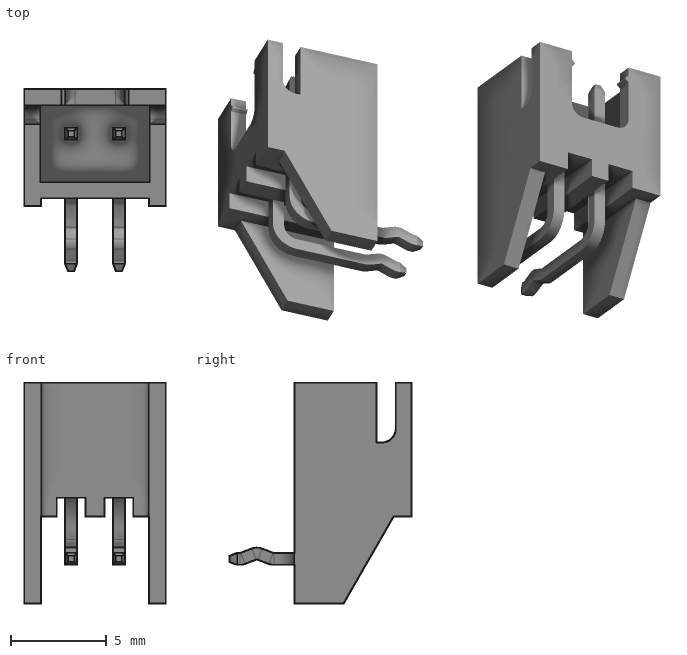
import cadquery as cq
import math

width = 7.4
height = 11.5
depth = 6.11
overall_depth = 9.5

plate_thickness = 0.9
side_wall = 0.85
back_wall = 0.84
front_wall = 0.84
front_recess = 0.4
body_bottom = 4.52
floor_top = 6.32

foot_depth = 2.56
back_ledge = 0.94

slot_radius = 0.7
side_slot_width = 0.99
side_slot_depth = 3.1
back_slot_width = 3.5
back_slot_depth = 3.7

ridge_z = 10.82
ridge_reach = 0.25
ridge_height = 0.39
ridge_nose_radius = 0.1
ridge_root_radius = 0.1
ridge_backing = 0.12

notch_width = 1.48
notch_top = 5.5

pitch = 2.5
pin_size = 0.63
pin_y = 3.77
pin_tip_length = 0.4
pin_tip_size = 0.31
pin_top = 11.29
leg_z = 2.32
elbow_inner_radius = 0.7
kink_start_y = -1.08
kink_inner_radius = 0.1
kink_angle = math.radians(21)
ramp_length = 0.62
pin_end_y = depth - overall_depth

pin_positions = [-pitch / 2, pitch / 2]


def box(x_min, x_max, y_min, y_max, z_min, z_max):
    """Axis-aligned block between the given limits."""
    block = cq.Workplane("XY").box(x_max - x_min, y_max - y_min, z_max - z_min, centered=False)
    return block.translate((x_min, y_min, z_min))


def make_side_plates():
    """Two full-height plates whose legs slope towards the front."""
    profile = [
        (0, 0),
        (foot_depth, 0),
        (depth - back_ledge, body_bottom),
        (depth, body_bottom),
        (depth, height),
        (0, height),
    ]
    plate = cq.Workplane("YZ").polyline(profile).close().extrude(plate_thickness)
    left = plate.translate((-width / 2, 0, 0))
    return left.union(left.mirror("YZ"))


def make_side_slot():
    """Cutter through both side walls, rounded at its back lower corner."""
    back = depth - back_wall
    slot = box(-width / 2, width / 2, back - side_slot_width, back, height - side_slot_depth, height)
    return slot.edges("|X and <Z and >Y").fillet(slot_radius)


def make_back_slot():
    """Cutter through the back wall, rounded at both lower corners."""
    half = back_slot_width / 2
    slot = box(-half, half, depth - back_wall, depth, height - back_slot_depth, height)
    return slot.edges("|Y and <Z").fillet(slot_radius)


def make_ridges():
    """Snap ridges on the two facing sides of the back slot, with rounded noses and roots."""
    edge = -back_slot_width / 2
    base = edge - ridge_backing
    ridge_top = ridge_z + ridge_height / 2
    ridge_bottom = ridge_z - ridge_height / 2
    profile = [
        (base, ridge_top + ridge_backing),
        (edge, ridge_top + ridge_backing),
        (edge, ridge_top),
        (edge + ridge_reach, ridge_z),
        (edge, ridge_bottom),
        (edge, ridge_bottom - ridge_backing),
        (base, ridge_bottom - ridge_backing),
    ]
    ridge = cq.Workplane("XZ", origin=(0, depth, 0)).polyline(profile).close().extrude(back_wall)
    ridge = ridge.edges("|Y and >X").fillet(ridge_nose_radius)
    for root_z in (ridge_top, ridge_bottom):
        root = cq.selectors.NearestToPointSelector((edge, depth - back_wall / 2, root_z))
        ridge = ridge.edges(root).fillet(ridge_root_radius)
    return ridge.union(ridge.mirror("YZ"))


def make_housing():
    """Open-topped box between the side plates, with slots, notches and pin holes."""
    plate_inner = width / 2 - plate_thickness
    cavity_half = width / 2 - side_wall
    body = make_side_plates().union(
        box(-plate_inner, plate_inner, front_recess, depth, body_bottom, height)
    )
    cavity_front = front_recess + front_wall
    body = body.cut(box(-cavity_half, cavity_half, cavity_front, depth - back_wall, floor_top, height))
    body = body.cut(make_side_slot()).cut(make_back_slot()).union(make_ridges())
    for x in pin_positions:
        notch_left = x - notch_width / 2
        body = body.cut(box(notch_left, notch_left + notch_width, 0, depth, body_bottom, notch_top))
        hole = box(-pin_size / 2, pin_size / 2, -pin_size / 2, pin_size / 2, notch_top, floor_top)
        body = body.cut(hole.translate((x, pin_y, 0)))
    return body


def make_wire_path():
    """Centre line of a pin without its tips: post, elbow, leg and kinked tail."""
    elbow_radius = elbow_inner_radius + pin_size / 2
    kink_radius = kink_inner_radius + pin_size / 2
    bend_run = kink_radius * math.sin(kink_angle)
    bend_rise = kink_radius * (1 - math.cos(kink_angle))
    ramp_run = ramp_length * math.cos(kink_angle)
    ramp_rise = ramp_length * math.sin(kink_angle)
    return (
        cq.Workplane("YZ")
        .moveTo(pin_y, pin_top - pin_tip_length)
        .lineTo(pin_y, leg_z + elbow_radius)
        .tangentArcPoint((-elbow_radius, -elbow_radius))
        .lineTo(kink_start_y, leg_z)
        .tangentArcPoint((-bend_run, bend_rise))
        .line(-ramp_run, ramp_rise)
        .tangentArcPoint((-2 * bend_run, 0))
        .line(-ramp_run, -ramp_rise)
        .tangentArcPoint((-bend_run, -bend_rise))
        .lineTo(pin_end_y + pin_tip_length, leg_z)
    )


def make_tip(plane, origin):
    """Square tip tapering along the normal of the given plane."""
    base = cq.Workplane(plane, origin=origin).rect(pin_size, pin_size)
    return base.workplane(offset=pin_tip_length).rect(pin_tip_size, pin_tip_size).loft()


def make_pin(x):
    """Bent square pin whose post is centred at the given X."""
    post_top = (0, pin_y, pin_top - pin_tip_length)
    section = cq.Workplane("XY", origin=post_top).rect(pin_size, pin_size)
    wire = section.sweep(make_wire_path(), clean=False)
    top_tip = make_tip("XY", post_top)
    tail_tip = make_tip("XZ", (0, pin_end_y + pin_tip_length, leg_z))
    pin = wire.union(top_tip, clean=False).union(tail_tip, clean=False)
    return pin.translate((x, 0, 0))


housing = make_housing()
pins = [make_pin(x) for x in pin_positions]

result = cq.Compound.makeCompound([housing.val(), *[pin.val() for pin in pins]])